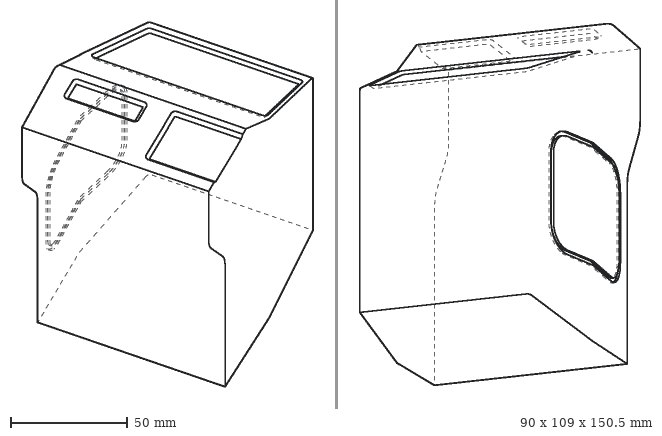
import cadquery as cq
import math

length = 109.0
height = 150.5
half_width = 90.0
nose_half_width = 88.2
back_half_width = 78.0
crease_y = 63.2

roof_back_y = 39.0
window_foot_z = 131.5
back_top_z = 110.5
back_bottom_z = 9.5
front_wall_y = 17.2
front_wall_bottom_z = 3.3
nose_bottom_z = 114.1
undercut_z = 88.3
undercut_radius = 15.0
edge_radius = 2.0

recess_depth = 1.5
recess_corner = 2.0
roof_slope_width = 1.7
slot_x_min, slot_x_max = -79.2, -44.2
slot_y_min, slot_y_max = 22.7, 34.8
hatch_half_width = 33.0
hatch_y_min, hatch_y_max = 5.7, 35.7
window_slope_width = 1.5
window_y_min, window_y_max = 64.1, 103.4
window_centre_gap = 1.8
window_side_margin = 4.4

door_y_min, door_y_max = 26.3, 93.5
door_z_min, door_z_max = 34.3, 89.5
door_corner = 12.0
groove_width = 2.0
groove_depth = 1.0

window_angle = math.degrees(math.atan2(window_foot_z - back_top_z, length - crease_y))


def side_wall_plan(inset):
    """Full-height plan prism whose bent side wall is moved inward by inset."""
    outline = [
        (0, 0),
        (inset - nose_half_width, 0),
        (inset - half_width, crease_y),
        (inset - back_half_width, length),
        (0, length),
    ]
    return cq.Workplane("XY").polyline(outline).close().extrude(height)


def profile_prism():
    """Side profile swept across the half width, with the nose undercut rounded."""
    profile = [
        (0, height),
        (roof_back_y, height),
        (crease_y, window_foot_z),
        (length, back_top_z),
        (length, back_bottom_z),
        (crease_y, 0),
        (front_wall_y, front_wall_bottom_z),
        (front_wall_y, undercut_z),
        (0, nose_bottom_z),
    ]
    prism = cq.Workplane("YZ").polyline(profile).close().extrude(-half_width)
    for y, z in ((front_wall_y, undercut_z), (0, nose_bottom_z)):
        corner = cq.selectors.NearestToPointSelector((-half_width / 2, y, z))
        prism = prism.edges(corner).fillet(undercut_radius)
    return prism


def edge_near(start, end):
    """Selector for the edge whose middle lies halfway between two corners."""
    middle = tuple((a + b) / 2 for a, b in zip(start, end))
    return cq.selectors.NearestToPointSelector(middle)


def round_window_edges(body):
    """Round the window's side and back edges, the slope above it and the back corner."""
    roof_share = roof_back_y / crease_y
    roof_half_width = nose_half_width + (half_width - nose_half_width) * roof_share
    roof_corner = (-roof_half_width, roof_back_y, height)
    window_foot = (-half_width, crease_y, window_foot_z)
    back_top = (-back_half_width, length, back_top_z)
    back_bottom = (-back_half_width, length, back_bottom_z)
    edges = (
        body.edges(edge_near(roof_corner, window_foot))
        .add(body.edges(edge_near(window_foot, back_top)))
        .add(body.edges(edge_near(back_top, (0, length, back_top_z))))
        .add(body.edges(edge_near(back_top, back_bottom)))
    )
    return body.newObject(edges.vals()).fillet(edge_radius)


def recess(plane, outline, slope_width):
    """Shallow recess with rounded corners and sloped walls, narrowing towards its floor."""
    taper = math.degrees(math.atan2(slope_width, recess_depth))
    sketch = cq.Sketch().polygon(outline + outline[:1]).vertices().fillet(recess_corner)
    return cq.Workplane(plane).placeSketch(sketch).extrude(-recess_depth, taper=taper)


def rectangle(x_min, x_max, y_min, y_max):
    return [(x_min, y_min), (x_max, y_min), (x_max, y_max), (x_min, y_max)]


def window_recess():
    plane = cq.Plane(
        origin=(0, crease_y, window_foot_z),
        xDir=(1, 0, 0),
        normal=(0, math.sin(math.radians(window_angle)), math.cos(math.radians(window_angle))),
    )
    side_slope = (half_width - back_half_width) / (length - crease_y)

    def side_corner(y):
        x = window_side_margin - half_width + side_slope * (y - crease_y)
        return x, along_slope(y)

    def along_slope(y):
        return (y - crease_y) / math.cos(math.radians(window_angle))

    outline = [
        side_corner(window_y_min),
        (-window_centre_gap, along_slope(window_y_min)),
        (-window_centre_gap, along_slope(window_y_max)),
        side_corner(window_y_max),
    ]
    return recess(plane, outline, window_slope_width)


def door_block(inset):
    """Rounded door outline, shrunk by inset, running across the half width."""
    door_length = door_y_max - door_y_min - 2 * inset
    door_height = door_z_max - door_z_min - 2 * inset
    centre = ((door_y_min + door_y_max) / 2, (door_z_min + door_z_max) / 2)
    block = cq.Workplane("YZ").center(*centre).rect(door_length, door_height).extrude(-half_width)
    return block.edges("|X").fillet(door_corner - inset)


def door_groove():
    ring = door_block(0).cut(door_block(groove_width))
    return ring.cut(side_wall_plan(groove_depth))


body = round_window_edges(side_wall_plan(0).intersect(profile_prism()))

roof = cq.Plane(origin=(0, 0, height))
slot = rectangle(slot_x_min, slot_x_max, slot_y_min, slot_y_max)
hatch = rectangle(-hatch_half_width, hatch_half_width, hatch_y_min, hatch_y_max)
body = body.cut(recess(roof, slot, roof_slope_width))
body = body.cut(recess(roof, hatch, roof_slope_width))
body = body.cut(window_recess())
result = body.cut(door_groove())